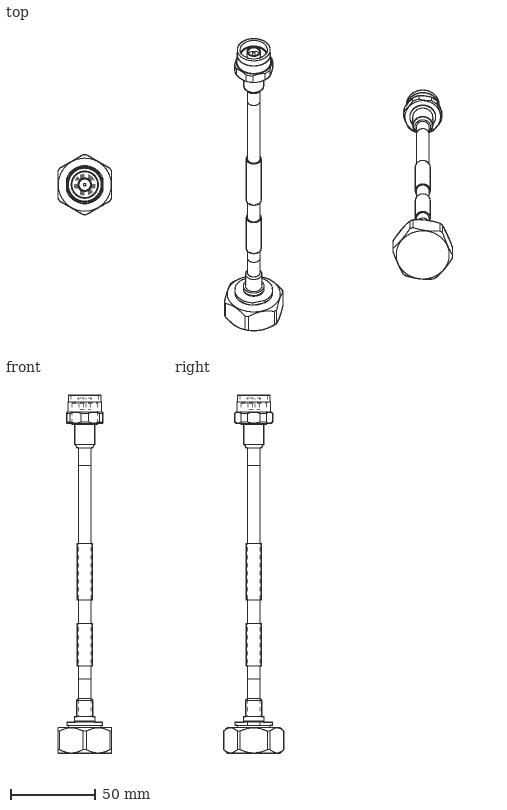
import cadquery as cq

TOTAL_LENGTH = 212.0

LARGE_NUT_FLATS = 31.8
LARGE_NUT_CORNER_DIAMETER = 35.6
LARGE_NUT_HEIGHT = 15.3
LARGE_NUT_CHAMFER = 2.1

NECK_RADIUS = 9.8
NECK_HEIGHT = 1.3
FLANGE_RADIUS = 11.2
FLANGE_HEIGHT = 2.0
FLANGE_FLATS = 21.2
GROOVE_RADIUS = 5.5
GROOVE_HEIGHT = 0.6
COLLAR_RADIUS = 6.1
COLLAR_HEIGHT = 2.5
FLANGE_BOTTOM_Z = LARGE_NUT_HEIGHT + NECK_HEIGHT
FLANGE_TOP_Z = FLANGE_BOTTOM_Z + FLANGE_HEIGHT
COLLAR_BOTTOM_Z = FLANGE_TOP_Z + GROOVE_HEIGHT
COLLAR_TOP_Z = COLLAR_BOTTOM_Z + COLLAR_HEIGHT
FERRULE_RADIUS = 4.9
FERRULE_TOP_Z = 32.5
FERRULE_CHAMFER = 1.0

CABLE_DIAMETER = 7.5
CABLE_RADIUS = CABLE_DIAMETER / 2
LOWER_JOINT_Z = 44.0
UPPER_JOINT_Z = 170.5
SLEEVE_RADIUS = 4.5
LOWER_SLEEVE_ENDS = (51.7, 76.7)
UPPER_SLEEVE_ENDS = (90.7, 124.0)

BARREL_BOTTOM_Z = 180.8
BARREL_RADIUS = 6.0
BARREL_LIP = 0.32
BARREL_END_RADIUS = 4.7
BARREL_TAPER_HEIGHT = 2.0
HEAD_RADIUS = 7.6
HEAD_BOTTOM_Z = 194.6
HEAD_TOP_Z = 207.1
SOCKET_OUTER_RADIUS = 4.0
SOCKET_INNER_RADIUS = 3.4
SOCKET_TOP_Z = 210.3
SOCKET_FLOOR_Z = 203.5

PIN_RADIUS = 0.75
PIN_TOP_Z = 209.9

SHELL_RADIUS = 10.0
SHELL_STEP_Z = 208.0
SHELL_RIM_RADIUS = 9.8
BORE_MOUTH_RADIUS = 8.0
SMALL_NUT_FLATS = 21.5
SMALL_NUT_CORNER_DIAMETER = 22.7
SMALL_NUT_BOTTOM_Z = 195.3
SMALL_NUT_TOP_Z = 202.0
SMALL_NUT_CHAMFER = 0.8


def cylinder(radius, bottom, top):
    """Upright cylinder on the Z axis between two heights."""
    return cq.Workplane("XY").workplane(offset=bottom).circle(radius).extrude(top - bottom)


def turned_hexagon(flats, corner_diameter, bottom, top, chamfer):
    """Hexagonal prism, flats facing +X and -X, with rounded-off corners and chamfered ends."""
    height = top - bottom
    hexagon = (
        cq.Workplane("XY")
        .workplane(offset=bottom)
        .polygon(6, flats, circumscribed=True)
        .extrude(height)
    )
    turned_blank = cylinder(corner_diameter / 2, bottom, top).faces("<Z or >Z").chamfer(chamfer)
    return hexagon.intersect(turned_blank)


def make_large_nut():
    return turned_hexagon(
        LARGE_NUT_FLATS, LARGE_NUT_CORNER_DIAMETER, 0, LARGE_NUT_HEIGHT, LARGE_NUT_CHAMFER
    )


def make_lower_connector():
    """Neck, two-flat flange, grooved collar and cable ferrule; the cable butts on the collar."""
    neck = cylinder(NECK_RADIUS, LARGE_NUT_HEIGHT, FLANGE_BOTTOM_Z)
    flat_trim = (
        cq.Workplane("XY")
        .workplane(offset=FLANGE_BOTTOM_Z)
        .rect(FLANGE_FLATS, 2 * FLANGE_RADIUS)
        .extrude(FLANGE_HEIGHT)
    )
    flange = cylinder(FLANGE_RADIUS, FLANGE_BOTTOM_Z, FLANGE_TOP_Z).intersect(flat_trim)
    groove = cylinder(GROOVE_RADIUS, FLANGE_TOP_Z, COLLAR_BOTTOM_Z)
    collar = cylinder(COLLAR_RADIUS, COLLAR_BOTTOM_Z, COLLAR_TOP_Z)
    ferrule = cylinder(FERRULE_RADIUS, COLLAR_TOP_Z, FERRULE_TOP_Z).faces(">Z").chamfer(FERRULE_CHAMFER)
    cable_hole = cylinder(CABLE_RADIUS, COLLAR_TOP_Z, FERRULE_TOP_Z)
    return neck.union(flange).union(groove).union(collar).union(ferrule).cut(cable_hole)


def make_cable_length(bottom, top):
    return cylinder(CABLE_RADIUS, bottom, top)


def make_sleeve(bottom, top):
    return cylinder(SLEEVE_RADIUS, bottom, top).cut(cylinder(CABLE_RADIUS, bottom, top))


def make_barrel():
    """Revolved barrel: tapered cable end, head inside the coupling and a socket around the pin."""
    taper_top = BARREL_BOTTOM_Z + BARREL_TAPER_HEIGHT
    half_section = (
        cq.Workplane("XZ")
        .moveTo(0, BARREL_BOTTOM_Z)
        .lineTo(BARREL_END_RADIUS, BARREL_BOTTOM_Z)
        .lineTo(BARREL_RADIUS - BARREL_LIP, taper_top)
        .lineTo(BARREL_RADIUS, taper_top)
        .lineTo(BARREL_RADIUS, HEAD_BOTTOM_Z)
        .lineTo(HEAD_RADIUS, HEAD_BOTTOM_Z)
        .lineTo(HEAD_RADIUS, HEAD_TOP_Z)
        .lineTo(SOCKET_OUTER_RADIUS, HEAD_TOP_Z)
        .lineTo(SOCKET_OUTER_RADIUS, SOCKET_TOP_Z)
        .lineTo(SOCKET_INNER_RADIUS, SOCKET_TOP_Z)
        .lineTo(SOCKET_INNER_RADIUS, SOCKET_FLOOR_Z)
        .lineTo(0, SOCKET_FLOOR_Z)
        .close()
    )
    return half_section.revolve(360, (0, 0), (0, 1))


def make_contact_pin():
    return cylinder(PIN_RADIUS, SOCKET_FLOOR_Z, PIN_TOP_Z)


def make_upper_coupling():
    """Hexagonal base and stepped round shell, bored to fit the barrel head and wider at the mouth."""
    base = turned_hexagon(
        SMALL_NUT_FLATS,
        SMALL_NUT_CORNER_DIAMETER,
        SMALL_NUT_BOTTOM_Z,
        SMALL_NUT_TOP_Z,
        SMALL_NUT_CHAMFER,
    )
    shell = cylinder(SHELL_RADIUS, SMALL_NUT_TOP_Z, SHELL_STEP_Z)
    rim = cylinder(SHELL_RIM_RADIUS, SHELL_STEP_Z, TOTAL_LENGTH)
    bore = cylinder(HEAD_RADIUS, SMALL_NUT_BOTTOM_Z, HEAD_TOP_Z)
    mouth = (
        cylinder(BORE_MOUTH_RADIUS, HEAD_TOP_Z, TOTAL_LENGTH)
        .faces("<Z")
        .chamfer(BORE_MOUTH_RADIUS - HEAD_RADIUS)
    )
    return base.union(shell).union(rim).cut(bore).cut(mouth)


large_nut = make_large_nut()
lower_connector = make_lower_connector()
cable_ends = [COLLAR_TOP_Z, LOWER_JOINT_Z, UPPER_JOINT_Z, BARREL_BOTTOM_Z]
cable_lengths = [make_cable_length(bottom, top) for bottom, top in zip(cable_ends, cable_ends[1:])]
sleeves = [make_sleeve(bottom, top) for bottom, top in (LOWER_SLEEVE_ENDS, UPPER_SLEEVE_ENDS)]
barrel = make_barrel()
contact_pin = make_contact_pin()
upper_coupling = make_upper_coupling()

result = cq.Compound.makeCompound(
    [
        large_nut.val(),
        lower_connector.val(),
        *[cable_length.val() for cable_length in cable_lengths],
        *[sleeve.val() for sleeve in sleeves],
        barrel.val(),
        contact_pin.val(),
        upper_coupling.val(),
    ]
)